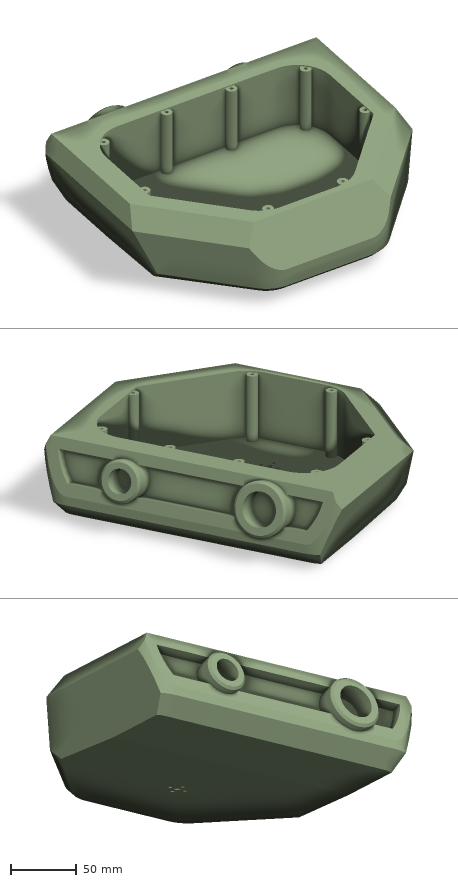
import cadquery as cq
import math


body_length = 219.4
body_height = 64.0
blank_half_width = 132.0
corner_radius = 30.0
nose_angle = 43.0
nose_reach = 187.3
bottom_chamfer = 13.2
underside_break = 73.0
underside_angle = 3.0

side_half_width = 127.38
side_widest_z = 49.6
side_lower_angle = 20.0
side_upper_angle = 25.0
diagonal_bevel_z = 49.3
diagonal_bevel_angle = 45.0
nose_bevel_z = 28.5
nose_bevel_angle = 34.0
rear_slope_z = 20.6
rear_slope_angle = 15.0

cavity_rear = 30.5
cavity_front = 189.5
cavity_half_width = 102.0
cavity_reach = 158.0
cavity_corner_radius = 30.0
cavity_floor_z = 8.0

post_diameter = 9.0
post_hole_diameter = 3.0
post_drop = 1.0
post_hole_depth = 10.0
post_places = [(41.4, 91.9), (112.9, 100.3), (33.4, 29.5), (184.6, 33.9)]

pattern_x = 145.2
pattern_radius = 7.0
pattern_hole_count = 4
pattern_hole_diameter = 3.0
centre_hole_diameter = 5.0

recess_depth = 10.0
recess_low = 10.2
recess_high = 35.6
recess_middle = 21.5
recess_low_half_width = 102.0
recess_middle_half_width = 108.9
recess_high_half_width = 113.4

socket_height = 8.0
socket_up_slope = 21.4
socket_edge_chamfer = 2.0
socket_bore_depth = socket_height + recess_depth
sockets = [(55.0, 34.0, 20.0), (-64.4, 44.4, 28.6)]

clearance = 50.0


def tangent(angle):
    return math.tan(math.radians(angle))


def plan_outline(rear, front, half_width, reach):
    """Rectangle with both front corners cut off diagonally, lying on the XY plane."""
    cos_nose = math.cos(math.radians(nose_angle))
    sin_nose = math.sin(math.radians(nose_angle))
    shoulder_x = (reach - half_width * cos_nose) / sin_nose
    front_y = (reach - front * sin_nose) / cos_nose
    return cq.Workplane("XY").polyline([
        (rear, -half_width),
        (shoulder_x, -half_width),
        (front, -front_y),
        (front, front_y),
        (shoulder_x, half_width),
        (rear, half_width),
    ]).close()


def slope_cutter(offset, start_z, end_z, turn, angle):
    """Block outside a sloped plane, between two levels.

    The plane stands `offset` from the origin at the level `start_z` and leans inward toward the level
    `end_z`, `angle` degrees from the vertical. It faces `turn` degrees round from +X.
    """
    lean = abs(end_z - start_z) * tangent(angle)
    far = offset + clearance
    half_width = body_length + clearance
    return (
        cq.Workplane("XZ")
        .polyline([(offset, start_z), (far, start_z), (far, end_z), (offset - lean, end_z)])
        .close()
        .extrude(half_width, both=True)
        .rotate((0, 0, 0), (0, 0, 1), turn)
    )


def make_body():
    outline = plan_outline(0, body_length, blank_half_width, nose_reach)
    body = outline.extrude(body_height)
    body = body.edges("|Z and (<X or >X)").fillet(corner_radius)
    body = body.faces("<Z").chamfer(bottom_chamfer)

    above = body_height + clearance
    below = -clearance
    for side in (1, -1):
        side_turn = side * 90
        body = body.cut(slope_cutter(side_half_width, side_widest_z, above, side_turn, side_upper_angle))
        body = body.cut(slope_cutter(side_half_width, side_widest_z, below, side_turn, side_lower_angle))
        bevel_turn = side * (90 - nose_angle)
        body = body.cut(slope_cutter(nose_reach, diagonal_bevel_z, above, bevel_turn, diagonal_bevel_angle))
    body = body.cut(slope_cutter(body_length, nose_bevel_z, above, 0, nose_bevel_angle))
    body = body.cut(slope_cutter(0, rear_slope_z, above, 180, rear_slope_angle))
    return body.cut(make_underside_wedge())


def make_underside_wedge():
    run = body_length + clearance - underside_break
    return (
        cq.Workplane("XZ")
        .moveTo(underside_break, 0)
        .line(run, 0)
        .line(0, run * tangent(underside_angle))
        .close()
        .extrude(blank_half_width, both=True)
    )


def make_cavity():
    outline = plan_outline(cavity_rear, cavity_front, cavity_half_width, cavity_reach)
    cavity = outline.extrude(body_height).translate((0, 0, cavity_floor_z))
    return cavity.edges("|Z and (<X or >X)").fillet(cavity_corner_radius)


def post_points():
    return [(x, side * y) for x, y in post_places for side in (1, -1)]


def make_posts():
    height = body_height - post_drop - cavity_floor_z
    posts = cq.Workplane("XY", origin=(0, 0, cavity_floor_z)).pushPoints(post_points())
    return posts.circle(post_diameter / 2).extrude(height)


def make_post_cutters():
    """Screw holes down from the post tops."""
    tops = cq.Workplane("XY", origin=(0, 0, body_height - post_drop)).pushPoints(post_points())
    return tops.circle(post_hole_diameter / 2).extrude(-post_hole_depth)


def make_floor_holes():
    base = cq.Workplane("XY", origin=(pattern_x, 0, 0))
    ring = base.polarArray(pattern_radius, 0, 360, pattern_hole_count)
    holes = ring.circle(pattern_hole_diameter / 2).extrude(body_height)
    return holes.union(base.circle(centre_hole_diameter / 2).extrude(body_height))


def rear_plane(height):
    """Plane parallel to the sloped rear face: x runs up the slope, y along +Y, `height` is outward."""
    lean = math.radians(rear_slope_angle)
    plane = cq.Plane(
        origin=(0, 0, rear_slope_z),
        xDir=(math.sin(lean), 0, math.cos(lean)),
        normal=(-math.cos(lean), 0, math.sin(lean)),
    )
    return cq.Workplane(plane).workplane(offset=height)


def make_recess():
    return (
        rear_plane(-recess_depth)
        .moveTo(recess_low, -recess_low_half_width)
        .lineTo(recess_low, recess_low_half_width)
        .threePointArc((recess_middle, recess_middle_half_width), (recess_high, recess_high_half_width))
        .lineTo(recess_high, -recess_high_half_width)
        .threePointArc((recess_middle, -recess_middle_half_width), (recess_low, -recess_low_half_width))
        .close()
        .extrude(2 * recess_depth)
    )


def make_socket(y, diameter):
    socket = rear_plane(-recess_depth).center(socket_up_slope, y).circle(diameter / 2)
    socket = socket.extrude(recess_depth + socket_height)
    return socket.faces("<X").edges().chamfer(socket_edge_chamfer)


def make_bore(y, diameter):
    bore = rear_plane(socket_height).center(socket_up_slope, y).circle(diameter / 2)
    return bore.extrude(-socket_bore_depth)


housing = make_body().cut(make_recess())
for socket_y, outer_diameter, bore_diameter in sockets:
    housing = housing.union(make_socket(socket_y, outer_diameter))
    housing = housing.cut(make_bore(socket_y, bore_diameter))
housing = housing.cut(make_cavity()).union(make_posts())
housing = housing.cut(make_post_cutters())
result = housing.cut(make_floor_holes())